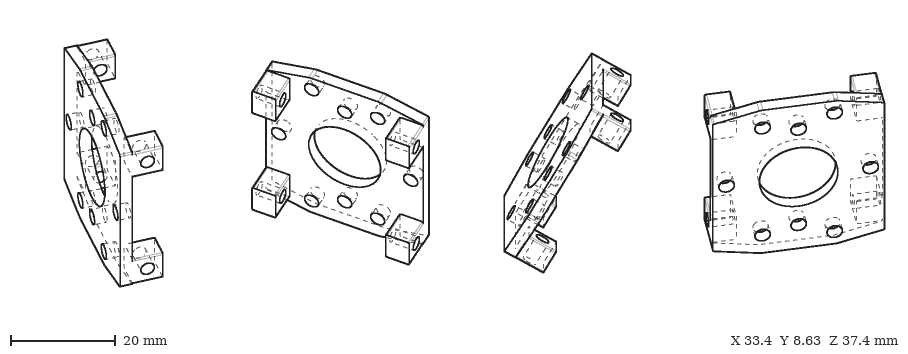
import cadquery as cq

plate_width = 33.4
plate_height = 37.35
plate_thickness = 2.5
total_depth = 8.63
flat_corner_x = 7.35
side_corner_z = 16.6
shoulder_radius = 3.35
side_corner_radius = 0.37

bore_diameter = 15.25
plate_hole_diameter = 3.0
side_hole_x = 14.0
center_hole_z = 12.48
offset_hole_x = side_hole_x / 2
left_hole_z = 14.0
right_hole_z = 15.5

leg_width = 5.05
leg_height = 6.13
leg_center_z = 13.45
leg_outer_radius = 0.37
leg_inner_radius = 0.3
leg_hole_diameter = 2.73

half_width = plate_width / 2
half_height = plate_height / 2
leg_depth = total_depth - plate_thickness
leg_center_x = half_width - leg_width / 2
leg_center_y = plate_thickness + leg_depth / 2


def extrude_back(sketch, depth):
    """Extrude an XZ sketch toward +Y."""
    return sketch.extrude(-depth)


def make_plate():
    outline = [
        (flat_corner_x, half_height),
        (half_width, side_corner_z),
        (half_width, -side_corner_z),
        (flat_corner_x, -half_height),
        (-flat_corner_x, -half_height),
        (-half_width, -side_corner_z),
        (-half_width, side_corner_z),
        (-flat_corner_x, half_height),
    ]
    plate = extrude_back(cq.Workplane("XZ").polyline(outline).close(), plate_thickness)
    plate = plate.edges("|Y and (<X or >X)").fillet(side_corner_radius)
    return plate.edges("|Y and (<Z or >Z)").fillet(shoulder_radius)


def make_leg(side_x, side_z):
    """One leg; side_x and side_z (+1 or -1) select the corner."""
    leg = cq.Workplane("XY").box(leg_width, leg_depth, leg_height)
    leg = leg.edges("|Y and >X and >Z").fillet(leg_outer_radius)
    for edge in ("|Y and <X and >Z", "|Y and <X and <Z", "|Y and >X and <Z"):
        leg = leg.edges(edge).fillet(leg_inner_radius)
    if side_x < 0:
        leg = leg.mirror("YZ")
    if side_z < 0:
        leg = leg.mirror("XY")
    return leg.translate((side_x * leg_center_x, leg_center_y, side_z * leg_center_z))


def make_plate_holes():
    centers = [(-side_hole_x, 0), (side_hole_x, 0)]
    for side_z in (-1, 1):
        centers += [
            (0, side_z * center_hole_z),
            (-offset_hole_x, side_z * left_hole_z),
            (offset_hole_x, side_z * right_hole_z),
        ]
    bore = extrude_back(cq.Workplane("XZ").circle(bore_diameter / 2), plate_thickness)
    small_holes = cq.Workplane("XZ").pushPoints(centers).circle(plate_hole_diameter / 2)
    return bore.union(extrude_back(small_holes, plate_thickness))


def make_leg_holes():
    """Cross holes along X, each passing through a pair of legs."""
    centers = [(leg_center_y, side_z * leg_center_z) for side_z in (-1, 1)]
    holes = cq.Workplane("YZ").pushPoints(centers).circle(leg_hole_diameter / 2)
    return holes.extrude(half_width, both=True)


result = make_plate()
for side_x in (-1, 1):
    for side_z in (-1, 1):
        result = result.union(make_leg(side_x, side_z))
result = result.cut(make_plate_holes()).cut(make_leg_holes())